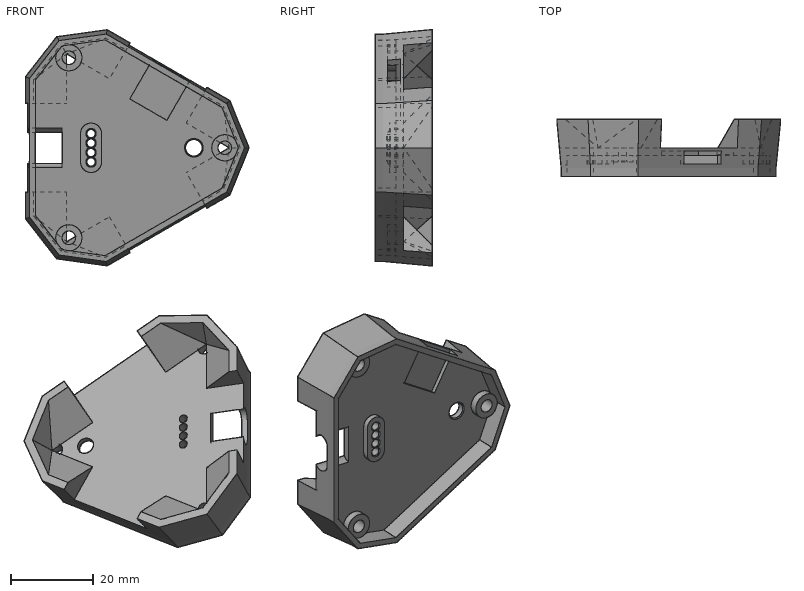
import cadquery as cq
import math

FLAT_DISTANCE = 23.25
CORNER_RADIUS = 31.2
FLAT_HALF_LENGTH = 17.25
FLAT_ANGLES = (60, 180, 300)
CORNER_ANGLES = (0, 120, 240)

DEPTH = 14.0
FRONT_BAND = 2.0
BACK_BAND = 0.5
FLOOR_FRONT = 5.05
FLOOR_THICKNESS = 1.9
FLOOR_BACK = FLOOR_FRONT + FLOOR_THICKNESS

FRONT_INSET = 1.05
FRONT_WALL = 1.4
BACK_WALL = 2.0
CAVITY_FLOOR_DISTANCE = 13.15

NOTCH_WIDTH = 21.55

BOSS_RADIUS = 25.3
BOSS_DIAMETER = 6.4
BOSS_HEIGHT = 2.0
SCREW_DIAMETER = 3.3

PIN_X = -7.25
PIN_COUNT = 4
PIN_PITCH = 2.3
PIN_DIAMETER = 2.0
PIN_BLOCK_LENGTH = 12.0
PIN_BLOCK_WIDTH = 5.1
PIN_BLOCK_HEIGHT = 1.5
ROUND_HOLE_X = 17.75
ROUND_HOLE_DIAMETER = 4.0
MOUTH_CHAMFER = 0.25

CONNECTOR_WIDTH = 9.55
CONNECTOR_HEIGHT = 4.6
CONNECTOR_MIDDLE = 5.05
CONNECTOR_END = 14.25

WINDOW_FLAT_ANGLE = 60
WINDOW_WIDTH = 10.4
WINDOW_SHIFT = 1.15
WINDOW_FRONT = 3.05
WINDOW_BACK = 6.2
WINDOW_END = 11.4

CUT_MARGIN = 5.75

SHOULDER_RADIUS = math.hypot(FLAT_DISTANCE, FLAT_HALF_LENGTH)
SHOULDER_ANGLE = 60 - math.degrees(math.atan2(FLAT_HALF_LENGTH, FLAT_DISTANCE))
SHOULDER_X = SHOULDER_RADIUS * math.cos(math.radians(SHOULDER_ANGLE))
SHOULDER_Z = SHOULDER_RADIUS * math.sin(math.radians(SHOULDER_ANGLE))
FACE_ANGLE = math.degrees(math.atan2(CORNER_RADIUS - SHOULDER_X, SHOULDER_Z))
FACE_DISTANCE = CORNER_RADIUS * math.cos(math.radians(FACE_ANGLE))


def polar(radius, angle):
    return (radius * math.cos(math.radians(angle)), radius * math.sin(math.radians(angle)))


def outline(inset):
    """Nine plan points, moved inward by inset; each group of three starts at a corner point."""
    corner = (FACE_DISTANCE - inset) / math.cos(math.radians(FACE_ANGLE))
    flat = FLAT_DISTANCE - inset
    between = math.radians(60 - FACE_ANGLE)
    along = (FACE_DISTANCE - inset - flat * math.cos(between)) / math.sin(between)
    radius = math.hypot(flat, along)
    angle = 60 - math.degrees(math.atan2(along, flat))
    points = []
    for turn in CORNER_ANGLES:
        points += [polar(corner, turn), polar(radius, turn + angle), polar(radius, turn + 120 - angle)]
    return points


def at_depth(y):
    """XZ sketch plane at depth y; negative extrusions run toward +Y."""
    return cq.Workplane("XZ", origin=(0, y, 0))


def prism(points, start, end):
    return at_depth(start).polyline(points).close().extrude(start - end)


def cylinder(x, z, diameter, start, end):
    return at_depth(start).center(x, z).circle(diameter / 2).extrude(start - end)


def flat_block(angle, shift, width, inner, start, end):
    """Block crossing one long flat, from a given axis distance to beyond the outside."""
    length = FLAT_DISTANCE + CUT_MARGIN - inner
    block = cq.Workplane("XY").box(length, end - start, width)
    block = block.translate((inner + length / 2, (start + end) / 2, -shift))
    return block.rotate((0, 0, 0), (0, -1, 0), angle)


def chamfered_hole(x, z, diameter, mouth):
    hole = cylinder(x, z, diameter, mouth, FLOOR_BACK)
    cone = cq.Solid.makeCone(
        diameter / 2 + MOUTH_CHAMFER, diameter / 2, MOUTH_CHAMFER,
        cq.Vector(x, mouth, z), cq.Vector(0, 1, 0),
    )
    return hole.union(cq.Workplane(cone))


def outer_body():
    front = prism(outline(FRONT_INSET), 0, FRONT_BAND)
    draft = (
        at_depth(FRONT_BAND).polyline(outline(FRONT_INSET)).close()
        .workplane(offset=FRONT_BAND + BACK_BAND - DEPTH).polyline(outline(0)).close()
        .loft(ruled=True)
    )
    back = prism(outline(0), DEPTH - BACK_BAND, DEPTH)
    return front.union(draft).union(back)


def back_cavity():
    """Faceted bowl growing from a triangle at the floor to the nine-sided opening."""
    triangle = [polar(2 * CAVITY_FLOOR_DISTANCE, angle) for angle in CORNER_ANGLES]
    low = [cq.Vector(x, FLOOR_BACK, z) for x, z in triangle]
    high = [cq.Vector(x, DEPTH, z) for x, z in outline(BACK_WALL)]
    facets = [low, high]
    for i in range(3):
        corner, shoulder, next_shoulder = high[3 * i:3 * i + 3]
        previous_shoulder = high[3 * i - 1]
        facets.append([low[i], previous_shoulder, corner])
        facets.append([low[i], corner, shoulder])
        facets.append([low[i], shoulder, next_shoulder, low[(i + 1) % 3]])
    faces = [cq.Face.makeFromWires(cq.Wire.makePolygon(facet, close=True)) for facet in facets]
    return cq.Workplane(cq.Solid.makeSolid(cq.Shell.makeShell(faces)))


def connector_slot():
    length = FLAT_DISTANCE + CUT_MARGIN - CONNECTOR_END
    return (
        cq.Workplane("YZ", origin=(-CONNECTOR_END, CONNECTOR_MIDDLE, 0))
        .slot2D(CONNECTOR_WIDTH, CONNECTOR_HEIGHT, 90).extrude(-length)
    )


body = outer_body()
body = body.cut(prism(outline(FRONT_INSET + FRONT_WALL), 0, FLOOR_FRONT))
body = body.cut(back_cavity())
for flat_angle in FLAT_ANGLES:
    body = body.cut(flat_block(flat_angle, 0, NOTCH_WIDTH, 0, FLOOR_BACK, DEPTH + CUT_MARGIN))

body = body.cut(connector_slot())
body = body.cut(
    flat_block(WINDOW_FLAT_ANGLE, WINDOW_SHIFT, WINDOW_WIDTH, WINDOW_END, WINDOW_FRONT, WINDOW_BACK)
)

for boss_angle in CORNER_ANGLES:
    boss_x, boss_z = polar(BOSS_RADIUS, boss_angle)
    boss_front = FLOOR_FRONT - BOSS_HEIGHT
    body = body.union(cylinder(boss_x, boss_z, BOSS_DIAMETER, boss_front, FLOOR_FRONT))
    body = body.cut(cylinder(boss_x, boss_z, SCREW_DIAMETER, boss_front, FLOOR_BACK))

pin_front = FLOOR_FRONT - PIN_BLOCK_HEIGHT
pin_block = (
    at_depth(pin_front).center(PIN_X, 0)
    .slot2D(PIN_BLOCK_LENGTH, PIN_BLOCK_WIDTH, 90).extrude(-PIN_BLOCK_HEIGHT)
)
body = body.union(pin_block)
for i in range(PIN_COUNT):
    pin_z = (i - (PIN_COUNT - 1) / 2) * PIN_PITCH
    body = body.cut(chamfered_hole(PIN_X, pin_z, PIN_DIAMETER, pin_front))

result = body.cut(chamfered_hole(ROUND_HOLE_X, 0, ROUND_HOLE_DIAMETER, FLOOR_FRONT))